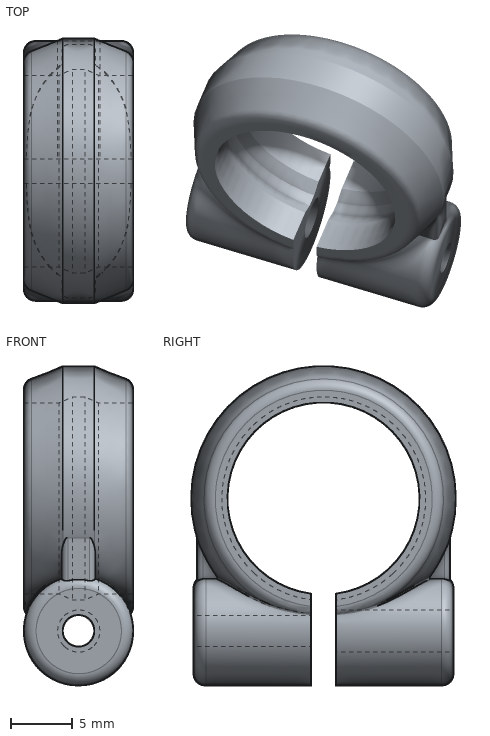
import cadquery as cq
import math

width = 8.94
outer_radius = 10.798
bore_radius = 7.82
crown_half_width = 1.28
shoulder_radius = 9.5
edge_round = 1.0

groove_floor_half_width = 0.52
groove_mouth_half_width = 1.62
groove_depth = 0.5

barrel_radius = width / 2
barrel_half_length = 10.6
joint_fillet = 0.1
barrel_z = barrel_radius + outer_radius - 26.05
screw_hole_radius = 1.28
clearance_hole_radius = 1.72
slit_width = 2.0

rib_half_width = 1.35
rib_outer_y = 10.32
rib_inner_y = 6.5
rib_edge_round = 0.5

half_width = width / 2


def revolve_about_x(points):
    """Revolve a closed (x, radius) outline around the X axis."""
    return cq.Workplane("XY").polyline(points).close().revolve(360, (0, 0, 0), (1, 0, 0))


def make_ring_body():
    """Solid disc with a flat crown, sloped flanks and rounded end edges."""
    body = revolve_about_x([
        (-half_width, 0),
        (-half_width, shoulder_radius),
        (-crown_half_width, outer_radius),
        (crown_half_width, outer_radius),
        (half_width, shoulder_radius),
        (half_width, 0),
    ])
    return body.faces("<X or >X").edges().fillet(edge_round)


def make_bore():
    """Bore cutter with the flared groove at mid-width."""
    groove_radius = bore_radius + groove_depth
    return revolve_about_x([
        (-half_width, 0),
        (-half_width, bore_radius),
        (-groove_mouth_half_width, bore_radius),
        (-groove_floor_half_width, groove_radius),
        (groove_floor_half_width, groove_radius),
        (groove_mouth_half_width, bore_radius),
        (half_width, bore_radius),
        (half_width, 0),
    ])


def cylinder_along_barrel(radius):
    """Full-length cylinder on the barrel axis."""
    profile = cq.Workplane("XZ").center(0, barrel_z).circle(radius)
    return profile.extrude(barrel_half_length, both=True)


def make_screw_hole():
    """Screw hole through the -Y half, widening to a clearance hole in the +Y half."""
    clearance_profile = cq.Workplane("XZ").center(0, barrel_z).circle(clearance_hole_radius)
    clearance = clearance_profile.extrude(-barrel_half_length)
    return cylinder_along_barrel(screw_hole_radius).union(clearance)


def make_rib(side):
    """Upright rib at the +Y (side=1) or -Y (side=-1) end of the barrel."""
    top_z = -math.sqrt(outer_radius**2 - rib_outer_y**2)
    depth = rib_outer_y - rib_inner_y
    height = top_z - barrel_z
    rib = cq.Workplane("XY").box(2 * rib_half_width, depth, height)
    rib = rib.faces(">Y" if side > 0 else "<Y").edges("|Z").fillet(rib_edge_round)
    return rib.translate((0, side * (rib_inner_y + depth / 2), barrel_z + height / 2))


barrel = cylinder_along_barrel(barrel_radius).faces("<Y or >Y").edges().fillet(edge_round)
clamp = make_ring_body().union(barrel).edges("%BSPLINE").fillet(joint_fillet)
for side in (-1, 1):
    clamp = clamp.union(make_rib(side))

slit_height = barrel_radius - barrel_z
slit = cq.Workplane("XY").box(width, slit_width, slit_height).translate((0, 0, -slit_height / 2))

result = clamp.cut(make_bore()).cut(make_screw_hole()).cut(slit)